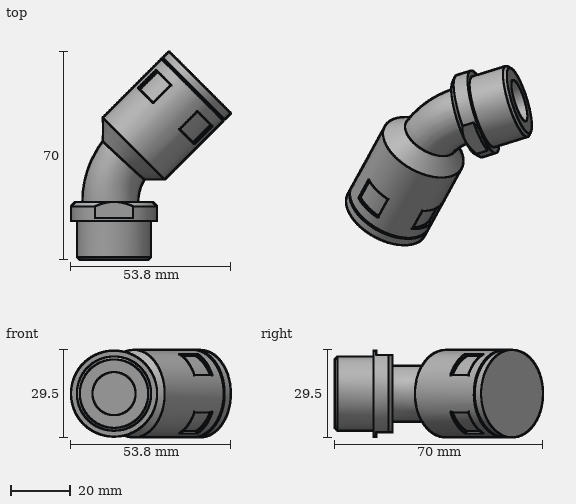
import math

import cadquery as cq

overall_x = 53.81
overall_y = 70.05

stub_diameter = 25.0
stub_length = 13.0
stub_chamfer = 1.0
bore_diameter = 14.5
bore_depth = 5.0
collar_diameter = 29.0
collar_height = 6.5
collar_chamfer = 1.5
collar_rim = 1.0
across_flats = 26.0

bend_angle = 45.0
bend_radius = 24.0
tube_diameter = 18.9
tube_start_x = -1.25

socket_diameter = 29.5
socket_length = 31.5
cone_tip_diameter = 17.0
cap_thickness = 3.0
groove_diameter = 23.4
groove_width = 0.5

window_count = 4
window_width = 10.0
window_length = 8.5
window_end_gap = 7.5
window_floor_diameter = 27.6

collar_top = stub_length + collar_height
bend_sine = math.sin(math.radians(bend_angle))
bend_cosine = math.cos(math.radians(bend_angle))
socket_direction = (bend_sine, bend_cosine, 0)

socket_end_x = overall_x - collar_diameter / 2 - socket_diameter / 2 * bend_cosine
socket_end_y = overall_y - socket_diameter / 2 * bend_sine


def along_y(start):
    """Plane across the stub axis, facing +Y."""
    return cq.Workplane(cq.Plane(origin=(0, start, 0), xDir=(1, 0, 0), normal=(0, 1, 0)))


def make_stub():
    stub = along_y(0).circle(stub_diameter / 2).extrude(stub_length)
    return stub.faces("<Y").chamfer(stub_chamfer)


def make_collar():
    collar = along_y(stub_length).circle(collar_diameter / 2).extrude(collar_height)
    collar = collar.faces(">Y").chamfer(collar_chamfer)
    rim_top = stub_length + collar_rim
    flat_depth = (collar_diameter - across_flats) / 2
    for side in (-1, 1):
        flat_cut = cq.Workplane("XY").box(collar_diameter, collar_height, flat_depth)
        flat_center_z = side * (across_flats + flat_depth) / 2
        collar = collar.cut(flat_cut.translate((0, rim_top + collar_height / 2, flat_center_z)))
    return collar


def make_elbow():
    section = along_y(collar_top).center(tube_start_x, 0).circle(tube_diameter / 2)
    return section.revolve(bend_angle, (bend_radius, 0), (bend_radius, 1))


def make_window():
    """One recess cutter on the local +X side of the socket axis."""
    bottom = socket_length - window_end_gap - window_length
    block = (
        cq.Workplane("XY")
        .box(socket_diameter, window_width, window_length, centered=(False, True, False))
        .translate((0, 0, bottom))
    )
    core = cq.Workplane("XY").circle(window_floor_diameter / 2).extrude(socket_length)
    return block.cut(core)


def make_socket():
    """Socket in its own frame, axis along Z with the wide end of the cone at Z = 0."""
    radius = socket_diameter / 2
    tip_radius = cone_tip_diameter / 2
    cone_length = radius - tip_radius
    groove_top = socket_length - cap_thickness
    groove_bottom = groove_top - groove_width
    profile = [
        (0, -cone_length),
        (tip_radius, -cone_length),
        (radius, 0),
        (radius, groove_bottom),
        (groove_diameter / 2, groove_bottom),
        (groove_diameter / 2, groove_top),
        (radius, groove_top),
        (radius, socket_length),
        (0, socket_length),
    ]
    socket = cq.Workplane("XZ").polyline(profile).close().revolve(360, (0, 0), (0, 1))
    window = make_window()
    spacing = 360 / window_count
    for index in range(window_count):
        angle = spacing * (index + 0.5)
        socket = socket.cut(window.rotate((0, 0, 0), (0, 0, 1), angle))
    return socket


def place_socket(socket):
    base_x = socket_end_x - socket_length * bend_sine
    base_y = socket_end_y - socket_length * bend_cosine
    frame = cq.Plane(origin=(base_x, base_y, 0), xDir=(0, 0, 1), normal=socket_direction)
    return cq.Workplane(socket.val().moved(cq.Location(frame)))


def make_bore():
    """Blind bore in the open face of the stub."""
    return along_y(0).circle(bore_diameter / 2).extrude(bore_depth)


body = make_stub().union(make_collar()).union(make_elbow()).union(place_socket(make_socket()))
result = body.cut(make_bore())